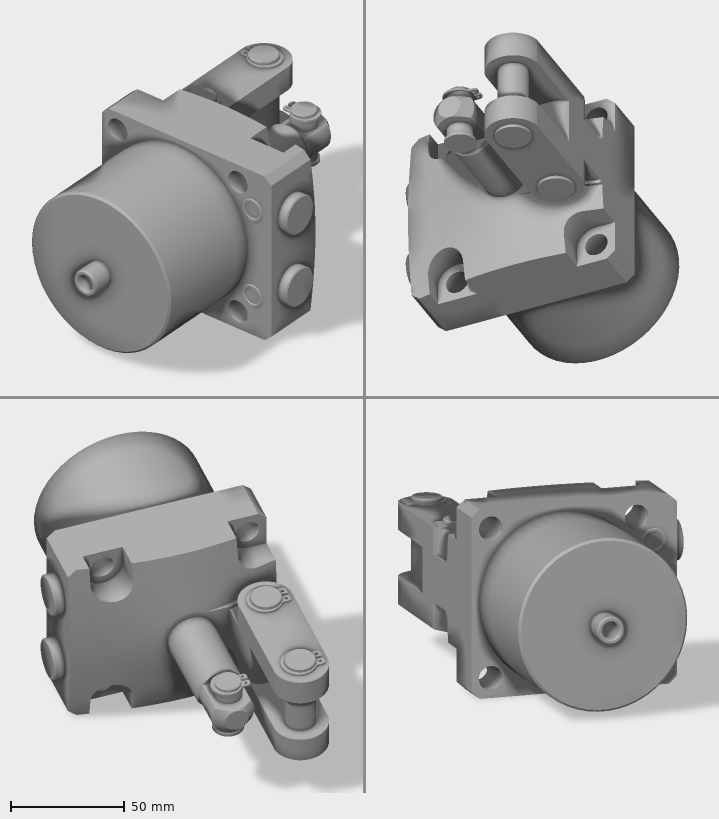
import cadquery as cq
import math


FLANGE_LEFT = -43.0
FLANGE_RIGHT = 53.0
FLANGE_HALF_DEPTH = 43.0
CORNER_CHAMFER_X = 3.9
CORNER_CHAMFER_Z = 3.4
CROWN_HEIGHT = 41.6
CROWN_RADIUS = 13.8
CROWN_SLOPE = math.tan(math.radians(15))

BOLT_OFFSET = 34.0
BOLT_HOLE_RADIUS = 5.5
POCKET_RADIUS = 9.4
POCKET_FLOOR = 20.4

CYLINDER_RADIUS = 78.8 / 2
CYLINDER_LENGTH = 54.9
CYLINDER_CHAMFER = 1.0

LINK_WIDTH = 25.1
LINK_CENTRE_X = FLANGE_LEFT + LINK_WIDTH / 2
LINK_END_RADIUS = 12.7
HINGE_Y = 54.5
PIN_SPACING = 44.0
LINK_INNER_Z = 10.8
LINK_OUTER_Z = 23.0
LINK_PIN_RADIUS = 14.0 / 2
ARM_SHOULDER_Y = 67.5
ARM_TOP_Y = 70.5
ARM_CORNER_RADIUS = 10.6
PAD_HALF_DEPTH = 12.4

HEAD_OVERHANG = 1.15
HEAD_THICKNESS = 1.5
RING_OVERHANG = 1.15
RING_THICKNESS = 1.0
RING_SHIFT = 0.7
PIN_STUB = 2.8
PIN_CHAMFER = 0.45
LUG_REACH = 3.5
LUG_HALF_WIDTH_RATIO = 0.63
LUG_CORNER = 0.9
LUG_GAP = 1.2
LUG_HOLE_RADIUS = 0.8
LUG_HOLE_INSET = 2.0

PLUG_RADIUS = 9.5
PLUG_HEIGHT = 4.8
PLUG_CHAMFER = 0.5
PLUG_Y = 14.3
PLUG_OFFSET_Z = 19.0
SEAL_X = 42.1
SEAL_OFFSET_Z = 22.5
SEAL_OUTER_RADIUS = 5.8
SEAL_INNER_RADIUS = 3.9
SEAL_HEIGHT = 0.5
SEAL_CHAMFER = 0.4

ROD_RADIUS = 22.5 / 2
ROD_SHOULDER_Y = 79.0
ROD_SHOULDER_CHAMFER = 2.1
TIP_RADIUS = 20.0 / 2
TIP_END_Y = 100.2
TIP_CHAMFER = 4.6
TONGUE_HALF_DEPTH = 5.5
ROD_PIN_Y = 89.0
ROD_PIN_RADIUS = 6.0
ROD_PIN_SHOULDER_Z = 11.3
TAIL_RADIUS = 12.5 / 2
TAIL_LENGTH = 10.8
TAIL_CHAMFER = 0.5
TAIL_CHAMFER_LENGTH = 1.0
TAIL_HOLE_RADIUS = 3.9
TAIL_HOLE_CHAMFER = 0.7

TAIL_END_Y = -CYLINDER_LENGTH - TAIL_LENGTH
SIDES = (-1, 1)


def block(x_min, x_max, y_min, y_max, z_min, z_max):
    solid = cq.Workplane("XY").box(x_max - x_min, y_max - y_min, z_max - z_min, centered=False)
    return solid.translate((x_min, y_min, z_min))


def rod_along_y(radius, y_min, y_max, x=0.0, z=0.0):
    axis = cq.Vector(0, 1, 0)
    return cq.Workplane(cq.Solid.makeCylinder(radius, y_max - y_min, cq.Vector(x, y_min, z), axis))


def disc_along_z(x, y, radius, z_min, z_max):
    return cq.Workplane("XY", origin=(x, y, z_min)).circle(radius).extrude(z_max - z_min)


def turned(half_profile):
    """Solid of revolution about the Y axis from (radius, y) points."""
    return cq.Workplane("XY").polyline(half_profile).close().revolve(360, (0, 0), (0, 1))


def make_pin(x, y, radius, shoulder_z):
    """Pin along Z with a head below -shoulder_z and a lugged retaining ring above +shoulder_z."""
    ring_top = shoulder_z + RING_THICKNESS
    shaft = disc_along_z(x, y, radius, -shoulder_z, shoulder_z + PIN_STUB)
    shaft = shaft.faces(">Z").chamfer(PIN_CHAMFER)
    head = disc_along_z(x, y, radius + HEAD_OVERHANG, -shoulder_z - HEAD_THICKNESS, -shoulder_z)
    ring = disc_along_z(x + RING_SHIFT, y, radius + RING_OVERHANG, shoulder_z, ring_top)

    lug_end_x = x - radius - LUG_REACH
    lug_half_width = LUG_HALF_WIDTH_RATIO * radius
    lugs = block(lug_end_x, x, y - lug_half_width, y + lug_half_width, shoulder_z, ring_top)
    lugs = lugs.edges("|Z and <X").chamfer(LUG_CORNER)
    gap = block(lug_end_x, x, y - LUG_GAP / 2, y + LUG_GAP / 2, shoulder_z, ring_top)
    lugs = lugs.cut(gap)
    for side in SIDES:
        hole_y = y + side * (lug_half_width + LUG_GAP / 2) / 2
        hole_x = lug_end_x + LUG_HOLE_INSET
        lugs = lugs.cut(disc_along_z(hole_x, hole_y, LUG_HOLE_RADIUS, shoulder_z, ring_top))
    return shaft.union(head).union(ring.union(lugs))


def make_flange():
    """Rectangular flange with cut corners whose top is a shallow cone."""
    flange = block(
        FLANGE_LEFT, FLANGE_RIGHT, 0, CROWN_HEIGHT, -FLANGE_HALF_DEPTH, FLANGE_HALF_DEPTH
    )
    for x, x_side in ((FLANGE_LEFT, 1), (FLANGE_RIGHT, -1)):
        for z_side in SIDES:
            z = z_side * FLANGE_HALF_DEPTH
            corner = (
                cq.Workplane("XZ")
                .moveTo(x, z)
                .lineTo(x + x_side * CORNER_CHAMFER_X, z)
                .lineTo(x, z - z_side * CORNER_CHAMFER_Z)
                .close()
                .extrude(-CROWN_HEIGHT)
            )
            flange = flange.cut(corner)
    cone_radius = math.hypot(FLANGE_RIGHT, FLANGE_HALF_DEPTH)
    cone_rim_y = CROWN_HEIGHT - (cone_radius - CROWN_RADIUS) * CROWN_SLOPE
    crown = turned(
        [
            (0, 0),
            (cone_radius, 0),
            (cone_radius, cone_rim_y),
            (CROWN_RADIUS, CROWN_HEIGHT),
            (0, CROWN_HEIGHT),
        ]
    )
    return flange.intersect(crown)


def make_arm():
    """Arm between the links, on a sloped pad that stands slightly proud of the cone."""
    arm_right = FLANGE_LEFT + LINK_WIDTH
    pad_left_y = CROWN_HEIGHT - LINK_WIDTH * CROWN_SLOPE
    pad = (
        cq.Workplane("XY", origin=(0, 0, -PAD_HALF_DEPTH))
        .moveTo(0, 0)
        .lineTo(FLANGE_LEFT, 0)
        .lineTo(FLANGE_LEFT, pad_left_y)
        .lineTo(arm_right, CROWN_HEIGHT)
        .lineTo(0, CROWN_HEIGHT)
        .close()
        .extrude(2 * PAD_HALF_DEPTH)
    )
    corner_drop = ARM_TOP_Y - ARM_SHOULDER_Y
    corner_run = math.sqrt(ARM_CORNER_RADIUS**2 - (ARM_CORNER_RADIUS - corner_drop) ** 2)
    arm = (
        cq.Workplane("XY", origin=(0, 0, -LINK_INNER_Z))
        .moveTo(FLANGE_LEFT, 0)
        .lineTo(FLANGE_LEFT, ARM_SHOULDER_Y)
        .radiusArc((FLANGE_LEFT + corner_run, ARM_TOP_Y), ARM_CORNER_RADIUS)
        .lineTo(arm_right - corner_run, ARM_TOP_Y)
        .radiusArc((arm_right, ARM_SHOULDER_Y), ARM_CORNER_RADIUS)
        .lineTo(arm_right, 0)
        .close()
        .extrude(2 * LINK_INNER_Z)
    )
    return pad.union(arm)


def cut_mounting_holes(housing):
    """Four bolt holes; the left pockets open to two sides, the right ones to one side only."""
    for x_side in SIDES:
        for z_side in SIDES:
            x = x_side * BOLT_OFFSET
            z = z_side * BOLT_OFFSET
            hole = rod_along_y(BOLT_HOLE_RADIUS, 0, CROWN_HEIGHT, x, z)
            pocket = rod_along_y(POCKET_RADIUS, POCKET_FLOOR, CROWN_HEIGHT, x, z)
            z_limits = sorted((z, z_side * FLANGE_HALF_DEPTH))
            slot = block(x - POCKET_RADIUS, x + POCKET_RADIUS, POCKET_FLOOR, CROWN_HEIGHT, *z_limits)
            housing = housing.cut(hole).cut(pocket).cut(slot)
            if x_side < 0:
                z_limits = sorted((z - z_side * POCKET_RADIUS, z_side * FLANGE_HALF_DEPTH))
                side_slot = block(FLANGE_LEFT, x, POCKET_FLOOR, CROWN_HEIGHT, *z_limits)
                housing = housing.cut(side_slot)
    return housing


def make_plug(z):
    plug = cq.Workplane("YZ", origin=(FLANGE_RIGHT, PLUG_Y, z)).circle(PLUG_RADIUS).extrude(PLUG_HEIGHT)
    return plug.faces(">X").chamfer(PLUG_CHAMFER)


def make_seal(z):
    seal = rod_along_y(SEAL_OUTER_RADIUS, -SEAL_HEIGHT, 0, SEAL_X, z)
    seal = seal.cut(rod_along_y(SEAL_INNER_RADIUS, -SEAL_HEIGHT, 0, SEAL_X, z))
    return seal.faces("<Y").chamfer(SEAL_CHAMFER)


def make_housing():
    """Flange, cylinder, arm and pressed-in hinge pin, bored for the piston rod."""
    cylinder = rod_along_y(CYLINDER_RADIUS, -CYLINDER_LENGTH, 0).faces("<Y").chamfer(CYLINDER_CHAMFER)
    housing = make_flange().union(make_arm()).union(cylinder)
    housing = cut_mounting_holes(housing)
    for side in SIDES:
        housing = housing.union(make_plug(side * PLUG_OFFSET_Z))
        housing = housing.union(make_seal(side * SEAL_OFFSET_Z))
    housing = housing.cut(rod_along_y(ROD_RADIUS, 0, CROWN_HEIGHT))
    housing = housing.cut(rod_along_y(TAIL_RADIUS, -CYLINDER_LENGTH, 0))
    return housing.union(make_pin(LINK_CENTRE_X, HINGE_Y, LINK_PIN_RADIUS, LINK_OUTER_Z))


def make_piston_rod():
    """Stepped rod with a flat tongue and pressed-in pin at the top and a drilled tail at the bottom."""
    rod = turned(
        [
            (0, TAIL_END_Y),
            (TAIL_RADIUS - TAIL_CHAMFER, TAIL_END_Y),
            (TAIL_RADIUS, TAIL_END_Y + TAIL_CHAMFER_LENGTH),
            (TAIL_RADIUS, 0),
            (ROD_RADIUS, 0),
            (ROD_RADIUS, ROD_SHOULDER_Y - ROD_SHOULDER_CHAMFER),
            (TIP_RADIUS, ROD_SHOULDER_Y),
            (TIP_RADIUS, TIP_END_Y - TIP_CHAMFER),
            (TIP_RADIUS - TIP_CHAMFER, TIP_END_Y),
            (0, TIP_END_Y),
        ]
    )
    for z_limits in ((-ROD_RADIUS, -TONGUE_HALF_DEPTH), (TONGUE_HALF_DEPTH, ROD_RADIUS)):
        rod = rod.cut(block(-ROD_RADIUS, ROD_RADIUS, ROD_SHOULDER_Y, TIP_END_Y, *z_limits))
    hole_mouth_radius = TAIL_HOLE_RADIUS + TAIL_HOLE_CHAMFER
    hole = turned(
        [
            (0, TAIL_END_Y),
            (hole_mouth_radius, TAIL_END_Y),
            (TAIL_HOLE_RADIUS, TAIL_END_Y + TAIL_HOLE_CHAMFER),
            (TAIL_HOLE_RADIUS, -CYLINDER_LENGTH),
            (0, -CYLINDER_LENGTH),
        ]
    )
    return rod.cut(hole).union(make_pin(0, ROD_PIN_Y, ROD_PIN_RADIUS, ROD_PIN_SHOULDER_Z))


def make_link(z_min):
    """Flat link with rounded ends and a hole for each of the two link pins."""
    half_width = LINK_WIDTH / 2
    thickness = LINK_OUTER_Z - LINK_INNER_Z
    end_reach = math.sqrt(LINK_END_RADIUS**2 - half_width**2)
    pin_points = [(0, 0), (0, PIN_SPACING)]
    plane = cq.Workplane("XY", origin=(LINK_CENTRE_X, HINGE_Y, z_min))
    blank = (
        plane.moveTo(-half_width, -end_reach)
        .lineTo(-half_width, PIN_SPACING + end_reach)
        .threePointArc((0, PIN_SPACING + LINK_END_RADIUS), (half_width, PIN_SPACING + end_reach))
        .lineTo(half_width, -end_reach)
        .threePointArc((0, -LINK_END_RADIUS), (-half_width, -end_reach))
        .close()
        .extrude(thickness)
    )
    return blank.cut(plane.pushPoints(pin_points).circle(LINK_PIN_RADIUS).extrude(thickness))


housing = make_housing()
piston_rod = make_piston_rod()
links = [make_link(z_min) for z_min in (-LINK_OUTER_Z, LINK_INNER_Z)]
clamp_pin = make_pin(LINK_CENTRE_X, HINGE_Y + PIN_SPACING, LINK_PIN_RADIUS, LINK_OUTER_Z)

result = cq.Compound.makeCompound(
    [housing.val(), piston_rod.val(), *[link.val() for link in links], clamp_pin.val()]
)